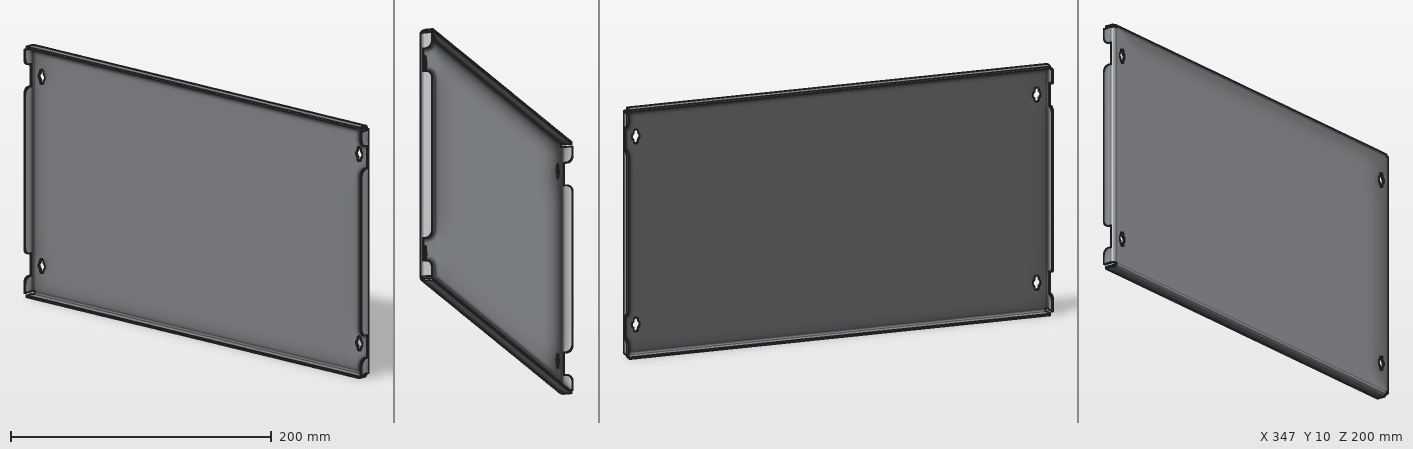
import cadquery as cq
import math

length = 347.0
depth = 10.0
height = 200.0

sheet = 1.5
inner_bend_radius = 1.5
outer_bend_radius = inner_bend_radius + sheet
plate_length = length - 2 * outer_bend_radius
plate_height = height - 2 * outer_bend_radius
flange_drop = depth - outer_bend_radius

long_flange_length = 342.0
corner_relief = 1.0
long_bend_length = long_flange_length - 2 * corner_relief

middle_tab_length = 133.0
gap_length = 18.0
tab_corner_radius = 5.0

hole_spacing_x = 326.0
hole_spacing_z = 151.0
hole_diameter = 6.5
slot_width = 3.5
slot_length = 11.5


def make_plate():
    """Flat panel between the four bends."""
    return cq.Workplane("XY").box(plate_length, sheet, plate_height).translate((0, -sheet / 2, 0))


def make_bend(plane, tangent, run_length):
    """Quarter-round bend swept along run_length, starting at the tangent distance from the centre."""
    outer_mid = outer_bend_radius * math.sqrt(0.5)
    inner_mid = inner_bend_radius * math.sqrt(0.5)
    return (
        cq.Workplane(plane)
        .moveTo(tangent, 0)
        .threePointArc(
            (tangent + outer_mid, outer_mid - outer_bend_radius),
            (tangent + outer_bend_radius, -outer_bend_radius),
        )
        .lineTo(tangent + inner_bend_radius, -outer_bend_radius)
        .threePointArc((tangent + inner_mid, inner_mid - outer_bend_radius), (tangent, -sheet))
        .close()
        .extrude(run_length / 2, both=True)
    )


def make_top_edge():
    """Bend and plain flange along the top edge; the bend section has Z across and Y upward."""
    section_plane = cq.Plane(origin=(0, 0, 0), xDir=(0, 0, 1), normal=(-1, 0, 0))
    bend = make_bend(section_plane, plate_height / 2, long_bend_length)
    flange = cq.Workplane("XY").box(long_flange_length, flange_drop, sheet)
    flange = flange.translate((0, -outer_bend_radius - flange_drop / 2, (height - sheet) / 2))
    return bend.union(flange)


def make_tab_gap(centre_z):
    """Cutter for one gap in a side flange, flared by the rounded corners of the tabs."""
    half_gap = gap_length / 2
    root_y = -outer_bend_radius
    round_start_y = -depth + tab_corner_radius
    flare = half_gap + tab_corner_radius
    return (
        cq.Workplane("YZ")
        .moveTo(root_y, -half_gap)
        .lineTo(round_start_y, -half_gap)
        .radiusArc((-depth, -flare), -tab_corner_radius)
        .lineTo(-depth, flare)
        .radiusArc((round_start_y, half_gap), -tab_corner_radius)
        .lineTo(root_y, half_gap)
        .close()
        .extrude(length / 2)
        .translate((0, 0, centre_z))
    )


def make_right_edge():
    """Bend and tabbed flange along the right edge."""
    bend = make_bend("XY", plate_length / 2, plate_height)
    flange = cq.Workplane("XY").box(sheet, flange_drop, plate_height)
    flange = flange.translate(((length - sheet) / 2, -outer_bend_radius - flange_drop / 2, 0))
    gap_offset = (middle_tab_length + gap_length) / 2
    for side in (-1, 1):
        flange = flange.cut(make_tab_gap(side * gap_offset))
    return bend.union(flange)


def make_hole_cutters():
    """Cutters for the four mounting holes."""
    pattern = cq.Workplane("XZ").rect(hole_spacing_x, hole_spacing_z, forConstruction=True).vertices()
    round_holes = pattern.circle(hole_diameter / 2).extrude(depth)
    slots = pattern.slot2D(slot_length, slot_width, 90).extrude(depth)
    return round_holes.union(slots)


top_edge = make_top_edge()
right_edge = make_right_edge()
result = make_plate()
for edge in (top_edge, top_edge.mirror("XY"), right_edge, right_edge.mirror("YZ")):
    result = result.union(edge)
result = result.cut(make_hole_cutters())